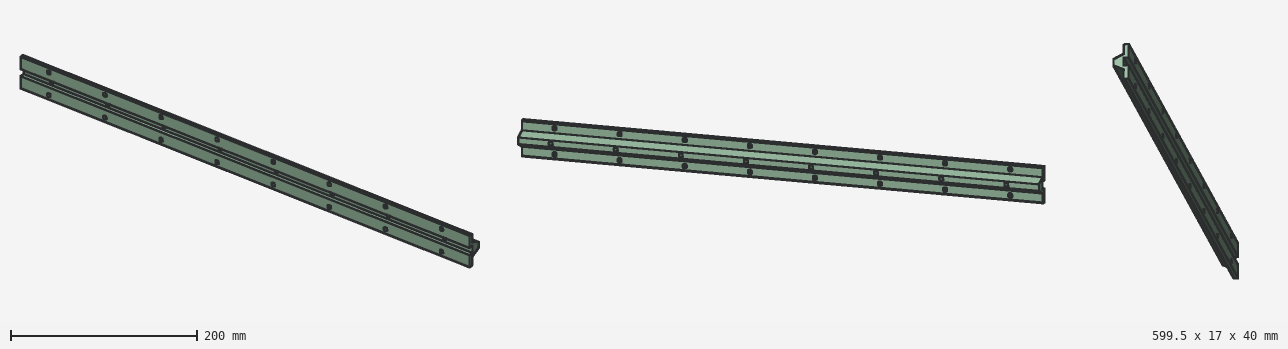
import cadquery as cq

length = 599.5
depth = 17.0
height = 40.0

flange_thickness = 5.5
flange_chamfer = 1.0
slot_width = 9.0
nose_width = 7.0
rib_base_width = 18.0

hole_diameter = 4.5
holes_per_row = 8
hole_pitch = length / holes_per_row
row_pitch = 14.5
row_count = 3

front_y = -depth / 2
back_y = depth / 2
flange_back_y = front_y + flange_thickness


def make_rail():
    """Extrude two edge-chamfered flanges joined by a tapered rib, with a slot between them."""
    upper_half = [
        (flange_back_y, slot_width / 2),
        (front_y, slot_width / 2),
        (front_y, height / 2),
        (flange_back_y - flange_chamfer, height / 2),
        (flange_back_y, height / 2 - flange_chamfer),
        (flange_back_y, rib_base_width / 2),
        (back_y, nose_width / 2),
    ]
    lower_half = [(y, -z) for y, z in reversed(upper_half)]
    outline = cq.Workplane("YZ").polyline(upper_half + lower_half).close()
    return outline.extrude(length / 2, both=True)


def make_holes():
    """Cylinders along Y, centred on the rail, for the flange and slot holes."""
    return (
        cq.Workplane("XZ")
        .rarray(hole_pitch, row_pitch, holes_per_row, row_count)
        .circle(hole_diameter / 2)
        .extrude(depth, both=True)
    )


result = make_rail().cut(make_holes())